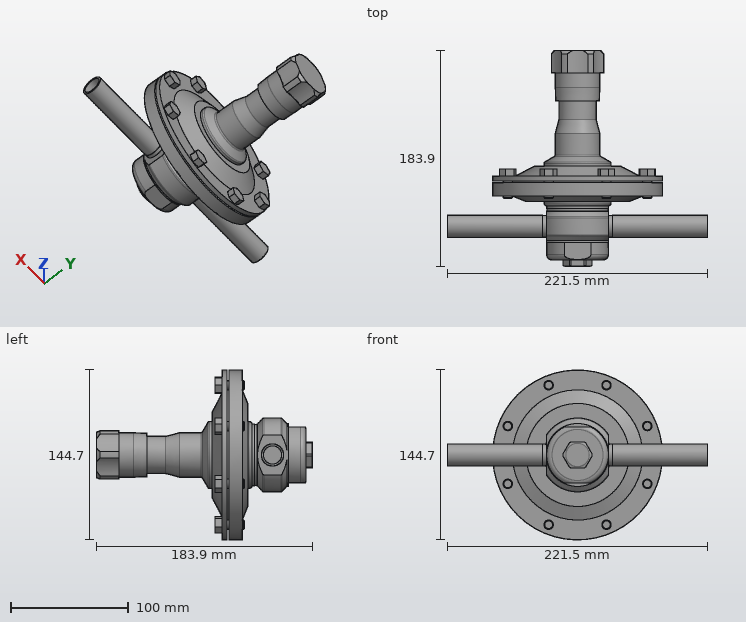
import cadquery as cq
import math


pipe_length = 221.5
pipe_radius = 9.5
pipe_bore_radius = 7.8
collar_radius = 9.3
collar_end = 30.0

body_radius = 31.5
body_rear = 8.0
body_front = -7.8
body_edge_radius = 1.5
body_flat_to_flat = 53.0
neck_radius = 26.4
neck_front = 12.9
shoulder_radius = 26.8
shoulder_start = -12.2
groove_depth = 0.2
groove_rear = 15.3
groove_front = 13.3
cap_radius = 26.4
cap_rear = -13.5
cap_front = -28.5
cap_edge_radius = 4.7
cap_flat_to_flat = 47.6

plug_front = -34.1
plug_flat_to_flat = 22.4
plug_corner_radius = 12.5
plug_chamfer = 2.5
plug_chamfer_depth = 0.7

flange_radius = 72.35
front_plate_front = 25.7
front_plate_rear = 37.2
rear_plate_front = 38.5
rear_plate_rear = 42.8
gasket_radius = 58.7
front_dome_base_radius = 55.5
front_dome_top_radius = 43.9
front_dome_end = 21.0
rear_dome_base_radius = 53.2
rear_dome_top_radius = 36.5
rear_dome_end = 51.5
ring_radius = 28.5
front_ring_end = 17.3
front_ring_edge_radius = 2.7

bolt_count = 8
bolt_circle_radius = 64.3
first_bolt_angle = 180.0 / bolt_count
bolt_radius = 4.0
bolt_end = 24.0
bolt_end_chamfer = 0.7
bolt_head_corner_radius = 7.3
bolt_head_end = 49.0
bolt_head_twist = 7.5

ring_rim_end = 54.5
rear_ring_edge_radius = 1.5
stem_start = 60.0
stem_radius = 19.0
stem_taper_start = 79.0
waist_radius = 16.0
waist_start = 90.8
waist_end = 106.8
socket_lip_radius = 18.6
socket_taper_end = 118.0

nut_start = 130.7
nut_end = 149.8
nut_flat_to_flat = 41.2
nut_corner_radius = 22.4
nut_chamfer = 2.5
nut_chamfer_depth = 3.0
nut_hollow_radius = 26.5


def disc(radius, start, end):
    """Cylinder on the stem axis between two Y positions."""
    return cq.Workplane("XZ", origin=(0, start, 0)).circle(radius).extrude(start - end)


def hexagon(flat_to_flat, start, end):
    """Hexagonal bar on the stem axis with corners on the X axis."""
    across_corners = flat_to_flat / math.cos(math.pi / 6)
    return cq.Workplane("XZ", origin=(0, start, 0)).polygon(6, across_corners).extrude(start - end)


def turned(points):
    """Solid of revolution about Y from (radius, y) points, closed along the axis."""
    outline = [(0, points[0][1])] + points + [(0, points[-1][1])]
    return cq.Workplane("XY").polyline(outline).close().revolve(360, (0, 0), (0, 1))


def rounded_corner_hexagon(flat_to_flat, corner_radius, start, end, chamfer, chamfer_depth):
    """Hexagonal bar with turned corners and a conical chamfer at its end."""
    depth = math.copysign(chamfer_depth, end - start)
    blank = turned([
        (corner_radius, start),
        (corner_radius, end - depth),
        (corner_radius - chamfer, end),
    ])
    return blank.intersect(hexagon(flat_to_flat, start, end))


def make_flange():
    front = turned([
        (front_dome_top_radius, front_dome_end),
        (front_dome_base_radius, front_plate_front),
        (flange_radius, front_plate_front),
        (flange_radius, front_plate_rear),
    ])
    gasket = disc(gasket_radius, front_plate_rear, rear_plate_front)
    rear = turned([
        (flange_radius, rear_plate_front),
        (flange_radius, rear_plate_rear),
        (rear_dome_base_radius, rear_plate_rear),
        (rear_dome_top_radius, rear_dome_end),
    ])
    return front.union(gasket).union(rear)


def make_bolt():
    """Bolt on the stem axis, head at the rear, with a chamfered front end."""
    shank = disc(bolt_radius, bolt_end, rear_plate_rear).faces("<Y").chamfer(bolt_end_chamfer)
    head_flat_to_flat = 2 * bolt_head_corner_radius * math.cos(math.pi / 6)
    head = hexagon(head_flat_to_flat, rear_plate_rear, bolt_head_end)
    return shank.union(head)


def add_bolts(part):
    bolt = make_bolt().rotate((0, 0, 0), (0, -1, 0), bolt_head_twist)
    bolt = bolt.translate((bolt_circle_radius, 0, 0))
    for index in range(bolt_count):
        angle = first_bolt_angle + index * 360 / bolt_count
        part = part.union(bolt.rotate((0, 0, 0), (0, -1, 0), angle))
    return part


def hollow_faces(nut):
    """Scoop each side face of the nut into a shallow concave cylinder."""
    half_flat = nut_flat_to_flat / 2
    half_face = math.sqrt(nut_corner_radius**2 - half_flat**2)
    scoop_axis = half_flat + math.sqrt(nut_hollow_radius**2 - half_face**2)
    scoop = disc(nut_hollow_radius, nut_start, nut_end).translate((0, 0, scoop_axis))
    for index in range(6):
        nut = nut.cut(scoop.rotate((0, 0, 0), (0, 1, 0), index * 60))
    return nut


def make_stem():
    stem = turned([
        (ring_radius, rear_dome_end),
        (ring_radius, ring_rim_end),
        (stem_radius, stem_start),
        (stem_radius, stem_taper_start),
        (waist_radius, waist_start),
        (waist_radius, waist_end),
        (socket_lip_radius, waist_end),
        (stem_radius, socket_taper_end),
        (stem_radius, nut_start),
    ])
    ring_edges = cq.selectors.BoxSelector(
        (-flange_radius, (rear_dome_end + ring_rim_end) / 2, -flange_radius),
        (flange_radius, (stem_start + stem_taper_start) / 2, flange_radius),
    )
    stem = stem.edges("%CIRCLE").edges(ring_edges).fillet(rear_ring_edge_radius)
    nut = rounded_corner_hexagon(
        nut_flat_to_flat, nut_corner_radius, nut_start, nut_end, nut_chamfer, nut_chamfer_depth
    )
    return stem.union(hollow_faces(nut))


def make_body():
    ring = disc(ring_radius, front_ring_end, front_dome_end)
    ring = ring.faces("<Y").edges().fillet(front_ring_edge_radius)
    body = turned([
        (neck_radius, front_dome_end),
        (neck_radius, groove_rear),
        (neck_radius - groove_depth, groove_rear),
        (neck_radius - groove_depth, groove_front),
        (neck_radius, groove_front),
        (neck_radius, neck_front),
        (body_radius, body_rear),
        (body_radius, body_front),
        (shoulder_radius, shoulder_start),
        (shoulder_radius, cap_rear),
    ])
    body = body.edges(cq.selectors.RadiusNthSelector(-1)).fillet(body_edge_radius)
    body = body.intersect(cq.Workplane("XY").box(body_flat_to_flat, 4 * body_radius, 4 * body_radius))
    return body.union(ring)


def make_cap():
    cap = disc(cap_radius, cap_front, cap_rear).faces("<Y").edges().fillet(cap_edge_radius)
    flats = cq.Workplane("XY").box(4 * cap_radius, 4 * cap_radius, cap_flat_to_flat)
    plug = rounded_corner_hexagon(
        plug_flat_to_flat, plug_corner_radius, cap_front, plug_front, plug_chamfer, plug_chamfer_depth
    )
    return cap.intersect(flats).union(plug)


def make_pipes():
    pipe = (
        cq.Workplane("YZ", origin=(collar_end, 0, 0))
        .circle(pipe_radius)
        .circle(pipe_bore_radius)
        .extrude(pipe_length / 2 - collar_end)
    )
    collar = cq.Workplane("YZ").circle(collar_radius).extrude(collar_end)
    arm = pipe.union(collar)
    return arm.union(arm.mirror("YZ"))


result = make_flange().union(make_stem()).union(make_body()).union(make_cap()).union(make_pipes())
result = add_bolts(result)